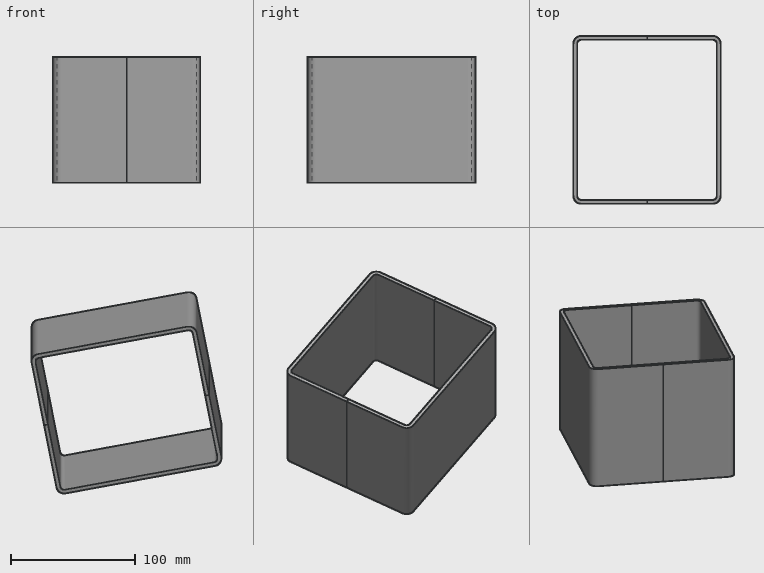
import cadquery as cq

width = 118.5
depth = 134.9
height = 101.0

wall = 3.2
inner_radius = 3.2
outer_radius = inner_radius + wall


def rounded_block(size_x, size_y, corner_radius):
    """Upright block centred on the Z axis, with rounded vertical edges."""
    block = cq.Workplane("XY").rect(size_x, size_y).extrude(height)
    return block.edges("|Z").fillet(corner_radius)


def half_shell(side):
    """C-shaped channel filling one side of the sleeve: -1 for -X, +1 for +X."""
    outer = rounded_block(width, depth, outer_radius)
    bore = rounded_block(width - 2 * wall, depth - 2 * wall, inner_radius)
    half_space = (
        cq.Workplane("XY")
        .center(side * width / 4, 0)
        .rect(width / 2, depth)
        .extrude(height)
    )
    return outer.cut(bore).intersect(half_space)


half_shells = [half_shell(side) for side in (-1, 1)]

result = cq.Compound.makeCompound([shell.solids().val() for shell in half_shells])